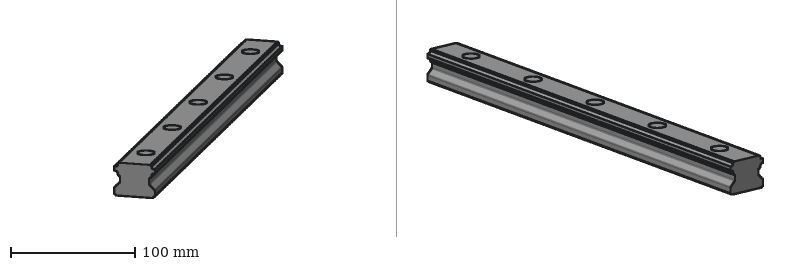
import cadquery as cq

width = 34.0
length = 390.0
height = 27.5

base_chamfer_height = 1.5
base_side_top = 6.5
waist_bottom = 11.5
lower_groove_bottom = 18.0
lower_groove_top = 20.5
upper_groove_bottom = 24.0
top_chamfer = 1.0

half_width = width / 2
base_chamfer_width = 2.0
waist_half_width = half_width - (waist_bottom - base_side_top)
groove_depth = 2.7
groove_corner_gap = 0.22
neck_half_width = half_width - groove_depth
waist_top = lower_groove_bottom - (neck_half_width - waist_half_width)
upper_groove_top = height - top_chamfer

flank_fillet = 1.0

hole_count = 5
hole_pitch = 80.0
cap_diameter = 14.0
cap_recess = 0.2


def groove_middle(z_low, z_high, opens_up):
    """Middle point of a concave ball groove cut into the corner of the head."""
    x = neck_half_width + groove_depth * groove_corner_gap
    rise = (z_high - z_low) * groove_corner_gap
    z = z_low + rise if opens_up else z_high - rise
    return (x, z)


def half_rail():
    """Right half of the rail, from the centre plane outwards."""
    outline = (
        cq.Workplane("XZ", origin=(0, length / 2, 0))
        .moveTo(0, 0)
        .lineTo(half_width - base_chamfer_width, 0)
        .lineTo(half_width, base_chamfer_height)
        .lineTo(half_width, base_side_top)
        .lineTo(waist_half_width, waist_bottom)
        .lineTo(waist_half_width, waist_top)
        .lineTo(neck_half_width, lower_groove_bottom)
        .threePointArc(
            groove_middle(lower_groove_bottom, lower_groove_top, False),
            (half_width, lower_groove_top),
        )
        .lineTo(half_width, upper_groove_bottom)
        .threePointArc(
            groove_middle(upper_groove_bottom, upper_groove_top, True),
            (neck_half_width, upper_groove_top),
        )
        .lineTo(neck_half_width - top_chamfer, height)
        .lineTo(0, height)
        .close()
    )
    half = outline.extrude(length)
    for x, z in ((half_width, base_side_top), (waist_half_width, waist_bottom)):
        half = half.edges(cq.selectors.NearestToPointSelector((x, 0, z))).fillet(flank_fillet)
    return half


def cap_recesses():
    """Row of round recesses centred along the top face."""
    return (
        cq.Workplane("XY", origin=(0, 0, height))
        .rarray(4, hole_pitch, 1, hole_count)
        .circle(cap_diameter / 2)
        .extrude(-cap_recess)
    )


right_half = half_rail()
rail = right_half.union(right_half.mirror("YZ")).clean()
result = rail.cut(cap_recesses())